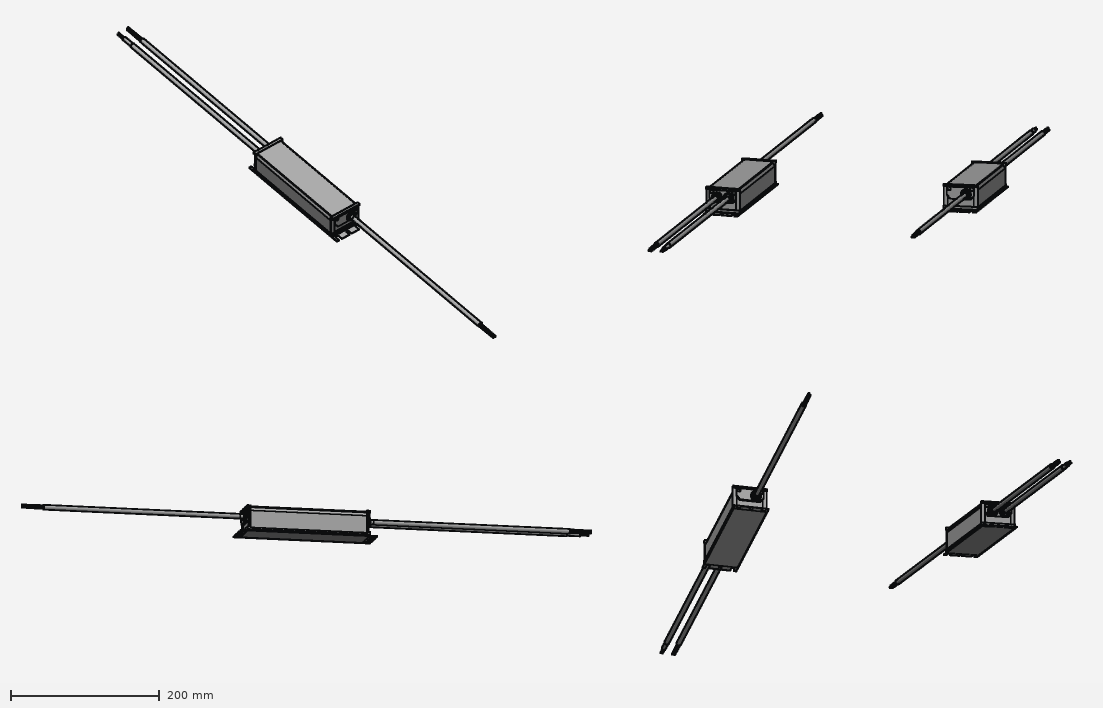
import cadquery as cq
import math

length = 784.0
case_width = 47.0
case_height = 35.0

plate_length = 188.0
plate_thickness = 1.0
slot_width = 3.4
slot_depth = 8.0
slit_width = 5.0
slit_y = 17.0
slit_depth = 9.0

case_length = 169.0
cap_lip_depth = 2.0
cap_thickness = 2.0
end_face_x = case_length / 2
cap_face_x = end_face_x - cap_lip_depth
body_end_x = cap_face_x - cap_thickness
body_height = 34.5
rail_height = 5.0
foot_height = 2.0
foot_inset = 1.0
wall_inset = 1.0
shoulder_bottom = 28.0
shoulder_top = 33.0
shoulder_width = 2.0

bottom_lip_height = 5.9
top_lip_height = 2.0
panel_width = 36.0
panel_depth = 1.0

pad_width = 38.0
pad_bottom = 16.0
pad_top = 32.0
pad_corner_width = 5.0
pad_corner_height = 5.5

screw_hole_diameter = 5.0
screw_hole_depth = 2.0
screw_y = 16.0
screw_z = 30.0

cable_z = 23.0
power_cable_y = 8.0
control_cable_y = -9.0
sheath_diameter = 6.8
neck_diameter = 6.5
flange_diameter = 14.0
flange_thickness = 1.2
flange_end_x = end_face_x + flange_thickness
collar_diameter = 11.0
collar_end_x = 87.0
neck_end_x = 92.0
sheath_end_x = 362.0
insulation_end_x = 380.0
cable_end_x = length / 2

wire_count = 3
wire_circle_radius = 1.5
power_wire_diameter = 2.4
power_core_diameter = 2.1
control_sheath_diameter = 5.6
control_core_diameter = 1.2


def x_cylinder(diameter, start_x, end_x, y, z):
    """Cylinder along X between two X positions."""
    return (
        cq.Workplane("YZ", origin=(start_x, y, z))
        .circle(diameter / 2)
        .extrude(end_x - start_x)
    )


def x_block(start_x, end_x, width, bottom_z, top_z):
    """Block centred on Y = 0 between two X and two Z positions."""
    return cq.Workplane("XY", origin=(start_x, 0, bottom_z)).box(
        end_x - start_x, width, top_z - bottom_z, centered=(False, True, False)
    )


def make_plate():
    plate = x_block(-plate_length / 2, plate_length / 2, case_width, 0, plate_thickness)
    for side in (-1, 1):
        end = cq.Workplane("XY").center(side * plate_length / 2, 0)
        plate = plate.cut(end.slot2D(2 * slot_depth, slot_width).extrude(plate_thickness))
        slits = end.pushPoints([(0, -slit_y), (0, slit_y)]).rect(2 * slit_depth, slit_width)
        plate = plate.cut(slits.extrude(plate_thickness))
    return plate


def make_body():
    rail_y = case_width / 2
    wall_y = rail_y - wall_inset
    top_y = wall_y - shoulder_width
    half_profile = [
        (rail_y - foot_inset, 0),
        (rail_y - foot_inset, foot_height),
        (rail_y, foot_height),
        (rail_y, rail_height),
        (wall_y, rail_height),
        (wall_y, shoulder_bottom),
        (top_y, shoulder_top),
        (top_y, body_height),
    ]
    mirrored_profile = [(-y, z) for y, z in reversed(half_profile)]
    return (
        cq.Workplane("YZ", origin=(-body_end_x, 0, 0))
        .polyline(half_profile + mirrored_profile)
        .close()
        .extrude(2 * body_end_x)
    )


def make_pad():
    half_width = pad_width / 2
    bottom_half_width = half_width - pad_corner_width
    corner_z = pad_bottom + pad_corner_height
    pad = (
        cq.Workplane("YZ", origin=(body_end_x, 0, 0))
        .moveTo(-bottom_half_width, pad_bottom)
        .lineTo(bottom_half_width, pad_bottom)
        .lineTo(half_width, corner_z)
        .lineTo(half_width, pad_top)
        .lineTo(-half_width, pad_top)
        .lineTo(-half_width, corner_z)
        .close()
        .extrude(end_face_x - body_end_x)
    )
    for y in (-screw_y, screw_y):
        pad = pad.cut(x_cylinder(screw_hole_diameter, end_face_x - screw_hole_depth, end_face_x, y, screw_z))
    return pad


def make_cap():
    """End cap of the +X end."""
    cap = x_block(body_end_x, cap_face_x, case_width, foot_height, case_height)
    top_lip_bottom = case_height - top_lip_height
    cap = cap.cut(x_block(cap_face_x - panel_depth, cap_face_x, panel_width, bottom_lip_height, top_lip_bottom))
    cap = cap.union(x_block(body_end_x, end_face_x, case_width, foot_height, bottom_lip_height))
    cap = cap.union(x_block(body_end_x, end_face_x - foot_inset, case_width - 2 * foot_inset, 0, foot_height))
    cap = cap.union(x_block(body_end_x, end_face_x, case_width, top_lip_bottom, case_height))
    return cap.union(make_pad())


def make_case(cables):
    """Case in one piece with its plate and caps, hollowed where the cable plugs sit."""
    cap = make_cap()
    case = make_plate().union(make_body()).union(cap).union(cap.mirror("YZ"))
    for cable in cables:
        case = case.cut(cable)
    return case


def make_sheath(y):
    """Outer part of a cable leaving the case towards +X, with its moulded grommet."""
    sheath = x_cylinder(neck_diameter, cap_face_x, neck_end_x, y, cable_z)
    sheath = sheath.union(x_cylinder(flange_diameter, end_face_x, flange_end_x, y, cable_z))
    sheath = sheath.union(x_cylinder(collar_diameter, end_face_x, collar_end_x, y, cable_z))
    return sheath.union(x_cylinder(sheath_diameter, neck_end_x, sheath_end_x, y, cable_z))


def wire_positions(y):
    """Y and Z of the wires, spaced evenly around the cable axis with the first on top."""
    angles = [math.radians(90 + 360 * i / wire_count) for i in range(wire_count)]
    return [
        (y + wire_circle_radius * math.cos(angle), cable_z + wire_circle_radius * math.sin(angle))
        for angle in angles
    ]


def make_power_cable(side):
    """Power cable leaving the case towards -X (side -1) or +X (side 1)."""
    cable = make_sheath(power_cable_y)
    for y, z in wire_positions(power_cable_y):
        cable = cable.union(x_cylinder(power_wire_diameter, sheath_end_x, insulation_end_x, y, z))
        cable = cable.union(x_cylinder(power_core_diameter, insulation_end_x, cable_end_x, y, z))
    return cable if side > 0 else cable.mirror("YZ")


def make_control_cable():
    """Control cable leaving the case towards -X."""
    cable = make_sheath(control_cable_y)
    cable = cable.union(
        x_cylinder(control_sheath_diameter, sheath_end_x, insulation_end_x, control_cable_y, cable_z)
    )
    for y, z in wire_positions(control_cable_y):
        cable = cable.union(x_cylinder(control_core_diameter, insulation_end_x, cable_end_x, y, z))
    return cable.mirror("YZ")


power_cables = [make_power_cable(side) for side in (-1, 1)]
control_cable = make_control_cable()
cables = power_cables + [control_cable]
case = make_case(cables)

result = cq.Compound.makeCompound([case.val()] + [cable.val() for cable in cables])